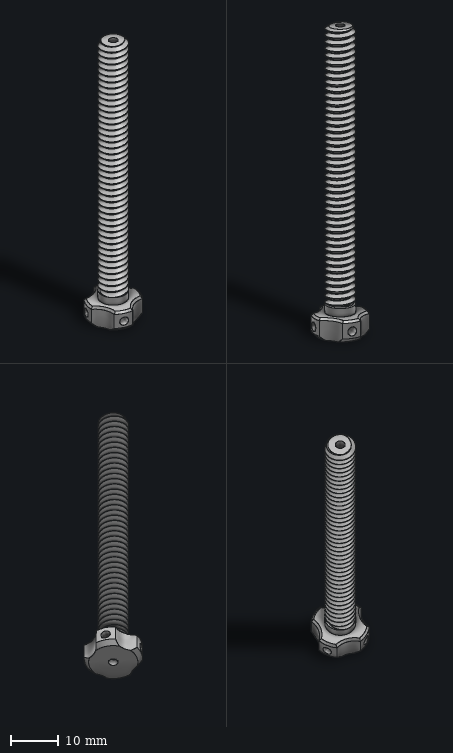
import cadquery as cq
import math

total_length = 69.38
bore_diameter = 2.0

head_diameter = 12.5
head_height = 5.0
head_top_chamfer = 0.5
head_bottom_chamfer = 1.0
lobe_count = 4
flute_radius = 4.8
flute_depth = 1.36
cross_hole_height = 2.55

shank_diameter = 6.6
neck_height = 1.88
tip_chamfer = 0.65
thread_pitch = 1.5
thread_root_diameter = 4.7
thread_crest_width = 0.1
thread_root_width = 0.14
crest_height = 1.22

head_radius = head_diameter / 2
shank_radius = shank_diameter / 2
bore_radius = bore_diameter / 2
root_radius = thread_root_diameter / 2
thread_start = head_height + neck_height
thread_length = total_length - thread_start

overcut = 1.0


def rim_cutter(radius, level, chamfer, direction):
    """Ring that bevels a round rim at a level; direction is +1 for a top rim, -1 for a bottom rim."""
    outer_radius = radius + overcut
    profile = cq.Workplane("XZ").polyline(
        [
            (radius - chamfer - overcut, level + direction * overcut),
            (outer_radius, level + direction * overcut),
            (outer_radius, level - direction * (chamfer + overcut)),
        ]
    )
    return profile.close().revolve(360, (0, 0, 0), (0, 1, 0))


def polar_point(radius, angle):
    """XY point at a radius and an angle in radians."""
    return (radius * math.cos(angle), radius * math.sin(angle))


def make_head():
    """Four-lobed head: round lobes joined by concave flutes, with bevelled rims."""
    flute_floor = head_radius - flute_depth
    flute_centre = flute_floor + flute_radius
    flute_half_angle = math.acos(
        (head_radius**2 + flute_centre**2 - flute_radius**2) / (2 * head_radius * flute_centre)
    )
    half_step = math.pi / lobe_count
    lobe_half_angle = half_step - flute_half_angle

    outline = cq.Workplane("XY").moveTo(*polar_point(head_radius, -lobe_half_angle))
    for lobe in range(lobe_count):
        middle = 2 * half_step * lobe
        lobe_end = polar_point(head_radius, middle + lobe_half_angle)
        flute_end = polar_point(head_radius, middle + 2 * half_step - lobe_half_angle)
        outline = outline.threePointArc(polar_point(head_radius, middle), lobe_end)
        outline = outline.threePointArc(polar_point(flute_floor, middle + half_step), flute_end)

    head = outline.close().extrude(head_height)
    head = head.faces(">Z").chamfer(head_top_chamfer)
    return head.cut(rim_cutter(head_radius, 0, head_bottom_chamfer, -1))


def make_thread_ridge():
    """Right-hand helical ridge, one face set per turn, running past both ends of the thread."""
    root_overlap = 0.05
    turns_below = 2
    turns_above = 1
    first_turn = thread_start + crest_height - turns_below * thread_pitch
    turn_count = math.ceil(thread_length / thread_pitch) + turns_below + turns_above
    turns = []
    for turn in range(turn_count):
        base = cq.Vector(0, 0, first_turn + turn * thread_pitch)
        turns += cq.Wire.makeHelix(thread_pitch, thread_pitch, shank_radius, center=base).Edges()
    helix = cq.Wire.assembleEdges(turns)

    inner_radius = root_radius - root_overlap
    crest_half = thread_crest_width / 2
    base_half = (thread_pitch - thread_root_width) / 2
    flank_slope = (base_half - crest_half) / (shank_radius - root_radius)
    inner_half = base_half + flank_slope * root_overlap
    profile = cq.Workplane("XZ").polyline(
        [
            (inner_radius, first_turn - inner_half),
            (shank_radius, first_turn - crest_half),
            (shank_radius, first_turn + crest_half),
            (inner_radius, first_turn + inner_half),
        ]
    )
    ridge = profile.close().sweep(cq.Workplane(obj=helix), isFrenet=True)
    return ridge.rotate((0, 0, 0), (0, 0, 1), -90)


def make_threaded_shank():
    """Threaded rod trimmed flat at both ends and bevelled at the tip."""
    run_out = 2 * thread_pitch + overcut
    core = (
        cq.Workplane("XY")
        .workplane(offset=thread_start - run_out)
        .circle(root_radius)
        .extrude(thread_length + 2 * run_out)
    )
    end_block = cq.Workplane("XY").circle(shank_radius + overcut).extrude(2 * run_out)
    shank = core.union(make_thread_ridge())
    shank = shank.cut(end_block.translate((0, 0, thread_start - 2 * run_out)))
    shank = shank.cut(end_block.translate((0, 0, total_length)))
    return shank.cut(rim_cutter(shank_radius, total_length, tip_chamfer, 1))


def make_neck():
    """Plain cylinder between the head and the thread."""
    return (
        cq.Workplane("XY")
        .workplane(offset=head_height)
        .circle(shank_radius)
        .extrude(neck_height)
    )


def drill_bores(body):
    """Axial through bore and two crossing through holes in the head."""
    body = body.cut(cq.Workplane("XY").circle(bore_radius).extrude(total_length))
    for plane in ("XZ", "YZ"):
        cross_hole = (
            cq.Workplane(plane)
            .center(0, cross_hole_height)
            .circle(bore_radius)
            .extrude(head_radius, both=True)
        )
        body = body.cut(cross_hole)
    return body


screw = make_head().union(make_neck()).union(make_threaded_shank())
result = drill_bores(screw)